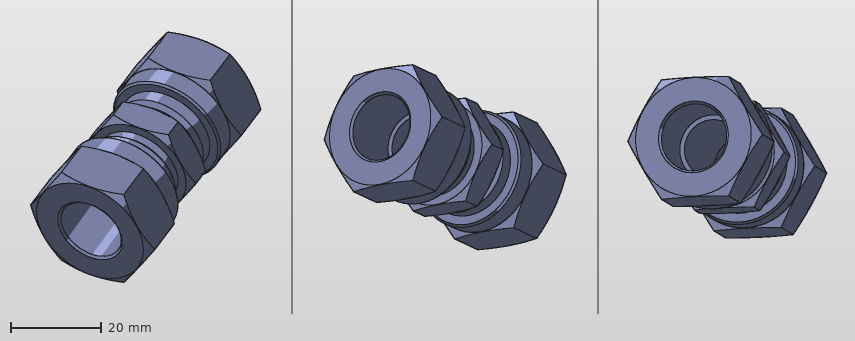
import cadquery as cq
import math

total_length = 53.5
half_length = total_length / 2

nut_flats = 27.0
nut_face_diameter = 26.75
nut_inner_end = 14.75
collar_diameter = 26.85
collar_inner_end = 9.75
collar_chamfer = 0.5

body_diameter = 21.95
neck_diameter = 19.8
neck_end = 5.55
middle_flats = 24.0
middle_face_diameter = 23.8
middle_half_length = 3.5
corner_chamfer_angle = 30.0

bore_diameter = 12.95
socket_diameter = 15.1
socket_depth = 15.0
socket_mouth_diameter = 16.15
socket_chamfer = (socket_mouth_diameter - socket_diameter) / 2


def revolve_about_y(points):
    """Revolve a closed (radius, y) outline about the Y axis."""
    return cq.Workplane("XY").polyline(points).close().revolve(360, (0, 0, 0), (0, 1, 0))


def chamfered_hexagon(flats, face_diameter, y_start, y_end):
    """Hexagonal prism along Y, corners pointing to +X and -X, coned at both ends."""
    corner_diameter = flats / math.cos(math.radians(30))
    corner_radius = corner_diameter / 2
    face_radius = face_diameter / 2
    drop = (corner_radius - face_radius) * math.tan(math.radians(corner_chamfer_angle))
    prism = (
        cq.Workplane("XZ", origin=(0, y_end, 0))
        .polygon(6, corner_diameter)
        .extrude(y_end - y_start)
    )
    envelope = revolve_about_y([
        (0, y_start),
        (face_radius, y_start),
        (corner_radius, y_start + drop),
        (corner_radius, y_end - drop),
        (face_radius, y_end),
        (0, y_end),
    ])
    return prism.intersect(envelope)


def round_body_half():
    """Neck, body and nut collar of the +Y half."""
    neck_radius = neck_diameter / 2
    body_radius = body_diameter / 2
    collar_radius = collar_diameter / 2
    shoulder_chamfer = body_radius - neck_radius
    return revolve_about_y([
        (0, 0),
        (neck_radius, 0),
        (neck_radius, neck_end),
        (body_radius, neck_end + shoulder_chamfer),
        (body_radius, collar_inner_end),
        (collar_radius - collar_chamfer, collar_inner_end),
        (collar_radius, collar_inner_end + collar_chamfer),
        (collar_radius, nut_inner_end),
        (0, nut_inner_end),
    ])


def bore_half():
    """Bore and chamfered tube socket of the +Y half."""
    bore_radius = bore_diameter / 2
    socket_radius = socket_diameter / 2
    socket_floor = half_length - socket_depth
    return revolve_about_y([
        (0, 0),
        (bore_radius, 0),
        (bore_radius, socket_floor),
        (socket_radius, socket_floor),
        (socket_radius, half_length - socket_chamfer),
        (socket_mouth_diameter / 2, half_length),
        (0, half_length),
    ])


nut = chamfered_hexagon(nut_flats, nut_face_diameter, nut_inner_end, half_length)
half_fitting = round_body_half().union(nut).cut(bore_half())
middle_hexagon = chamfered_hexagon(
    middle_flats, middle_face_diameter, -middle_half_length, middle_half_length
).cut(bore_half()).cut(bore_half().mirror("XZ"))

result = half_fitting.union(half_fitting.mirror("XZ")).union(middle_hexagon)